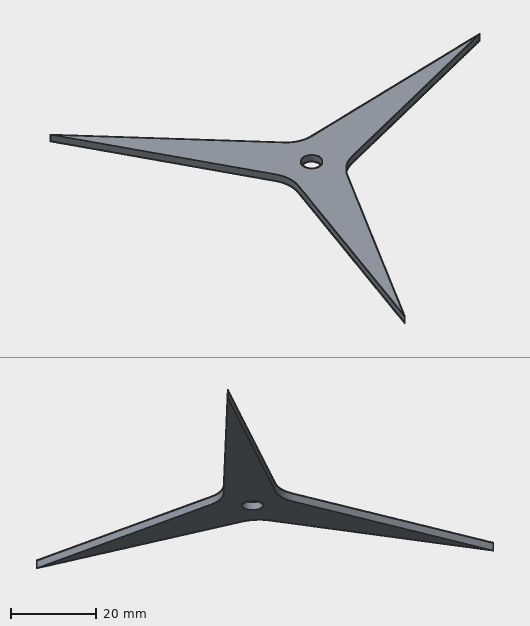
import cadquery as cq
import math

span = 107.4
thickness = 2.0
arm_count = 3
valley_radius = 7.5
valley_fillet = 8.5
hole_diameter = 5.0

tip_radius = span / (2 * math.sin(math.pi / arm_count))


def polar_point(radius, angle):
    return (radius * math.cos(angle), radius * math.sin(angle))


outline = []
for arm in range(arm_count):
    tip_angle = 2 * math.pi * arm / arm_count
    valley_angle = tip_angle + math.pi / arm_count
    outline.append(polar_point(tip_radius, tip_angle))
    outline.append(polar_point(valley_radius, valley_angle))

star = cq.Workplane("XY").polyline(outline).close().extrude(thickness)

inner_corners = cq.selectors.BoxSelector(
    (-2 * valley_radius, -2 * valley_radius, 0),
    (2 * valley_radius, 2 * valley_radius, thickness),
)
star = star.edges("|Z").edges(inner_corners).fillet(valley_fillet)

result = star.faces(">Z").workplane(origin=(0, 0, thickness)).hole(hole_diameter)